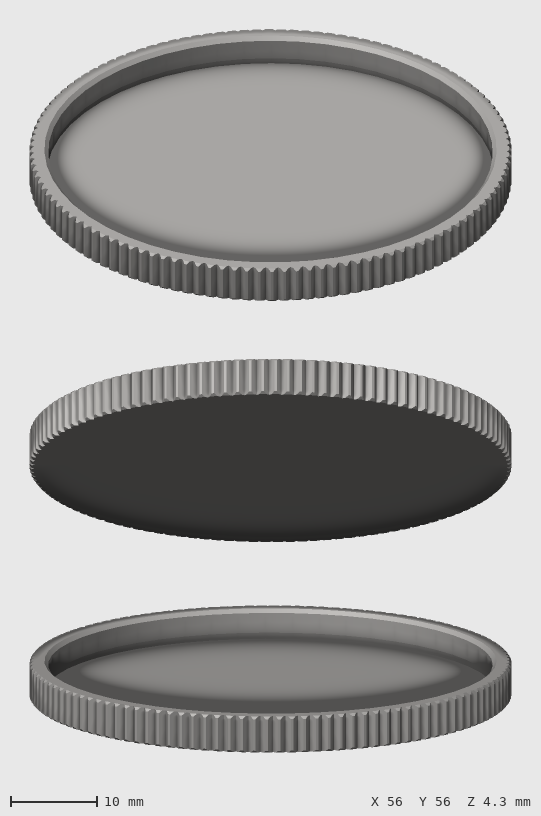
import cadquery as cq
import math

outer_diameter = 56.0
height = 4.3

groove_count = 120
groove_width = 1.2
groove_depth = 0.55
rim_chamfer = 0.3

floor_thickness = 0.7
undercut_depth = 0.2
lip_bottom = 1.5
lip_radius = 25.8
mouth_chamfer = 0.45

outer_radius = outer_diameter / 2
root_radius = outer_radius - groove_depth
undercut_radius = lip_radius + undercut_depth
mouth_radius = lip_radius + mouth_chamfer


def polar(radius, angle):
    return (radius * math.cos(angle), radius * math.sin(angle))


def knurled_blank():
    """Solid disc whose outline alternates V grooves and round tooth lands."""
    pitch = 2 * math.pi / groove_count
    half_groove = math.asin(groove_width / 2 / outer_radius)

    outline = cq.Workplane("XY").moveTo(*polar(outer_radius, -half_groove))
    for index in range(groove_count):
        groove_angle = index * pitch
        land_start = groove_angle + half_groove
        land_middle = groove_angle + pitch / 2
        land_end = groove_angle + pitch - half_groove
        outline = outline.lineTo(*polar(root_radius, groove_angle))
        outline = outline.lineTo(*polar(outer_radius, land_start))
        outline = outline.threePointArc(polar(outer_radius, land_middle), polar(outer_radius, land_end))
    return outline.close().extrude(height)


def chamfered_envelope():
    """Plain disc with both outer edges chamfered, used to trim the tooth ends."""
    disc = cq.Workplane("XY").circle(outer_radius).extrude(height)
    return disc.faces("<Z or >Z").edges().chamfer(rim_chamfer)


def cavity():
    """Turned pocket: undercut above the floor, narrower lip, chamfered mouth."""
    profile = [
        (0, floor_thickness),
        (undercut_radius, floor_thickness),
        (undercut_radius, lip_bottom),
        (lip_radius, lip_bottom),
        (lip_radius, height - mouth_chamfer),
        (mouth_radius, height),
        (0, height),
    ]
    return cq.Workplane("XZ").polyline(profile).close().revolve(360, (0, 0, 0), (0, 1, 0))


result = knurled_blank().intersect(chamfered_envelope()).cut(cavity())